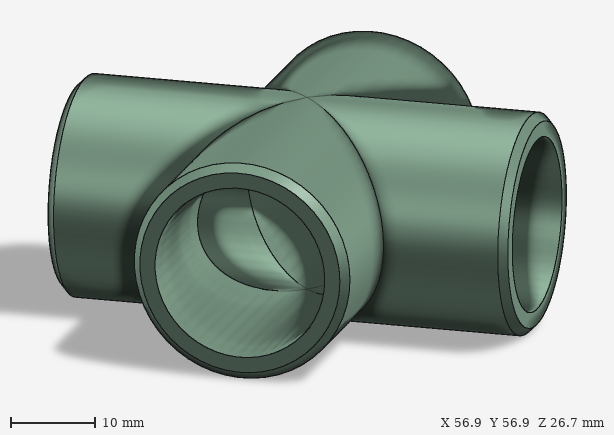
import cadquery as cq

length = 56.9
outer_diameter = 26.7
bore_diameter = 21.0
end_chamfer = 0.95


def centred_cylinder(plane, diameter):
    """Full-length cylinder centred on the origin, along the plane's normal."""
    return cq.Workplane(plane).circle(diameter / 2).extrude(length / 2, both=True)


def outer_pipe(plane):
    """Solid pipe body with both outer rims chamfered."""
    return centred_cylinder(plane, outer_diameter).edges("%CIRCLE").chamfer(end_chamfer)


body = outer_pipe("YZ").union(outer_pipe("XZ"))
bores = centred_cylinder("YZ", bore_diameter).union(centred_cylinder("XZ", bore_diameter))

result = body.cut(bores)